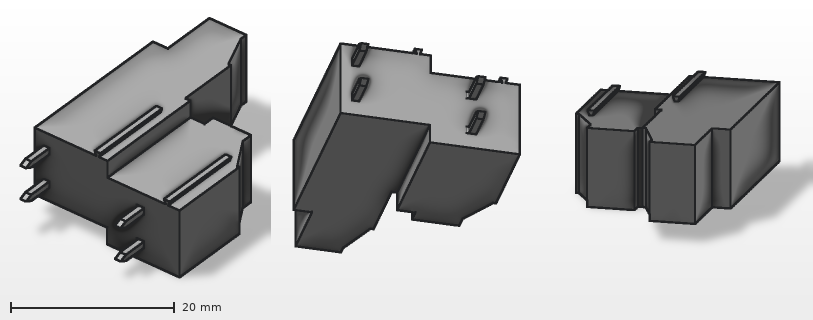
import cadquery as cq
import math


total_width = 22.6
total_length = 36.1
pin_length = 4.62
tall_length = total_length - pin_length

block_height = 10.0
pin_pitch = block_height / 2
level_offset = pin_pitch / 2

tall_width = 11.37
tall_neck_right = 10.58
tall_left_step = 2.3
tall_left_shoulder = 23.3
tall_head_right = 8.05
tall_slope_top = 30.45
tall_slope_foot_x = 10.18
tall_slope_foot_y = 25.27

short_left = 11.25
short_length = 17.98
shoulder_length = 16.3
short_head_left = 13.57
short_head_right = 19.53
short_slope_foot_x = 22.25
short_slope_foot_y = 11.8

rib_length = 12.13
rib_height = 0.65
rib_top_width = 0.9
rib_root_width = 0.45
tall_rib_center = 9.82
short_rib_center = 20.6

pin_width = 0.9
pin_thickness = 0.95
pin_tip_length = 1.0
tall_pin_center = 1.88
short_pin_center = 16.65

pin_root_radius = 0.3


def block(outline, base_z):
    """Housing block with the given XY outline, standing on base_z."""
    return cq.Workplane("XY", origin=(0, 0, base_z)).polyline(outline).close().extrude(block_height)


def dovetail_rib(center_x, base_z):
    """Rib running along Y, wider at its top than at its root."""
    half_root = rib_root_width / 2
    half_top = rib_top_width / 2
    section = [(-half_root, 0), (half_root, 0), (half_top, rib_height), (-half_top, rib_height)]
    plane = cq.Workplane("XZ", origin=(center_x, 0, base_z))
    return plane.polyline(section).close().extrude(-rib_length)


def solder_pin(center_x, center_z):
    """Pin pointing to -Y, tapering in Z to a sharp edge."""
    half_thickness = pin_thickness / 2
    taper_start = pin_tip_length - pin_length
    side = [
        (0, -half_thickness),
        (0, half_thickness),
        (taper_start, half_thickness),
        (-pin_length, 0),
        (taper_start, -half_thickness),
    ]
    plane = cq.Workplane("YZ", origin=(center_x - pin_width / 2, 0, center_z))
    return plane.polyline(side).close().extrude(pin_width)


def pin_root_round(center_x, center_z):
    """Concave round between the housing face and the left side of a pin."""
    pin_left = center_x - pin_width / 2
    arc_center_x = pin_left - pin_root_radius
    arc_reach = pin_root_radius * math.sqrt(0.5)
    arc_middle = (arc_center_x + arc_reach, arc_reach - pin_root_radius)
    plane = cq.Workplane("XY", origin=(0, 0, center_z - pin_thickness / 2))
    outline = plane.moveTo(pin_left, 0).lineTo(pin_left, -pin_root_radius)
    outline = outline.threePointArc(arc_middle, (arc_center_x, 0)).close()
    return outline.extrude(pin_thickness)


tall_outline = [
    (0, 0),
    (tall_width, 0),
    (tall_width, shoulder_length),
    (tall_neck_right, shoulder_length),
    (tall_neck_right, tall_slope_foot_y),
    (tall_slope_foot_x, tall_slope_foot_y),
    (tall_head_right, tall_slope_top),
    (tall_head_right, tall_length),
    (tall_left_step, tall_length),
    (tall_left_step, tall_left_shoulder),
    (0, tall_left_shoulder),
]

short_outline = [
    (short_left, 0),
    (total_width, 0),
    (total_width, short_slope_foot_y),
    (short_slope_foot_x, short_slope_foot_y),
    (short_head_right, shoulder_length),
    (short_head_right, short_length),
    (short_head_left, short_length),
    (short_head_left, shoulder_length),
    (short_left, shoulder_length),
]

result = block(tall_outline, level_offset).union(block(short_outline, 0))

result = result.union(dovetail_rib(tall_rib_center, level_offset + block_height))
result = result.union(dovetail_rib(short_rib_center, block_height))

for pole in range(2):
    pin_height = (pole + 0.5) * pin_pitch
    result = result.union(solder_pin(tall_pin_center, level_offset + pin_height))
    result = result.union(solder_pin(short_pin_center, pin_height))
    result = result.union(pin_root_round(short_pin_center, pin_height))